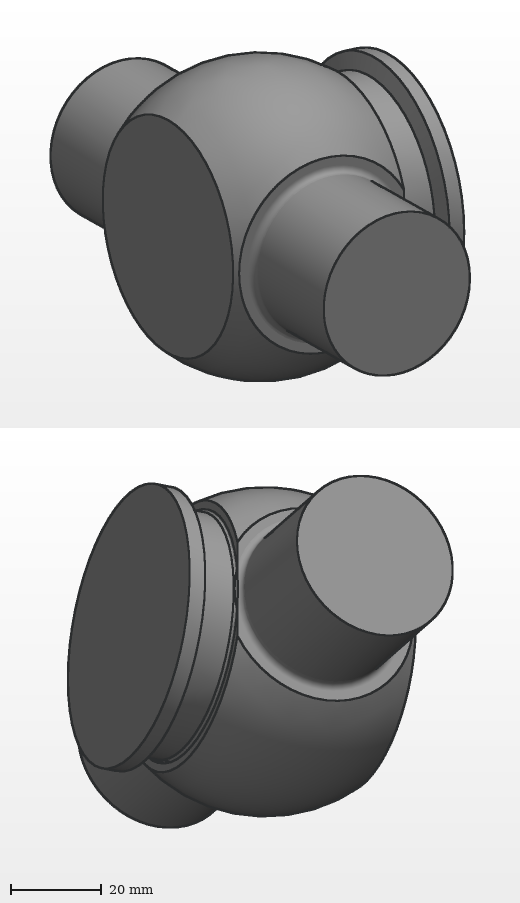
import cadquery as cq
import math

overall_length = 115.1
sphere_diameter = 72.8
side_flat = 28.3
front_flat = 23.9
back_flat = 19.9

pipe_radius = 19.0
pipe_fillet = 1.6

neck_radius = 27.8
neck_fillet = 0.7
flange_radius = 32.0
flange_end = 33.3
flange_rim = 3.8
flange_taper = 1.3


def make_body():
    """Sphere cut flat on both pipe sides, the front and the back."""
    sphere_radius = sphere_diameter / 2
    front_radius = math.sqrt(sphere_radius**2 - front_flat**2)
    back_radius = math.sqrt(sphere_radius**2 - back_flat**2)
    ball = (
        cq.Workplane("YZ")
        .moveTo(-front_flat, 0)
        .lineTo(-front_flat, front_radius)
        .threePointArc((0, sphere_radius), (back_flat, back_radius))
        .lineTo(back_flat, 0)
        .close()
        .revolve(360, (0, 0, 0), (1, 0, 0))
    )
    envelope = cq.Workplane("XY").box(2 * side_flat, sphere_diameter, sphere_diameter)
    return ball.intersect(envelope)


def make_pipe(direction):
    """Solid pipe stub along X with a concave fillet at the body flat."""
    fillet_end = side_flat + pipe_fillet
    fillet_offset = pipe_fillet * (1 - math.sqrt(0.5))
    profile = (
        cq.Workplane("XY")
        .lineTo(direction * side_flat, 0)
        .lineTo(direction * side_flat, pipe_radius + pipe_fillet)
        .threePointArc(
            (direction * (side_flat + fillet_offset), pipe_radius + fillet_offset),
            (direction * fillet_end, pipe_radius),
        )
        .lineTo(direction * overall_length / 2, pipe_radius)
        .lineTo(direction * overall_length / 2, 0)
        .close()
    )
    return profile.revolve(360, (0, 0, 0), (1, 0, 0))


def make_flanged_neck():
    """Neck and clamp flange revolved about Y, with a fillet at the body flat."""
    rim_start = flange_end - flange_rim
    fillet_offset = neck_fillet * (1 - math.sqrt(0.5))
    profile = (
        cq.Workplane("XY")
        .moveTo(0, back_flat)
        .lineTo(neck_radius + neck_fillet, back_flat)
        .threePointArc(
            (neck_radius + fillet_offset, back_flat + fillet_offset),
            (neck_radius, back_flat + neck_fillet),
        )
        .lineTo(neck_radius, rim_start - flange_taper)
        .lineTo(flange_radius, rim_start)
        .lineTo(flange_radius, flange_end)
        .lineTo(0, flange_end)
        .close()
    )
    return profile.revolve(360, (0, 0, 0), (0, 1, 0))


result = make_body().union(make_flanged_neck())
for direction in (-1, 1):
    result = result.union(make_pipe(direction))